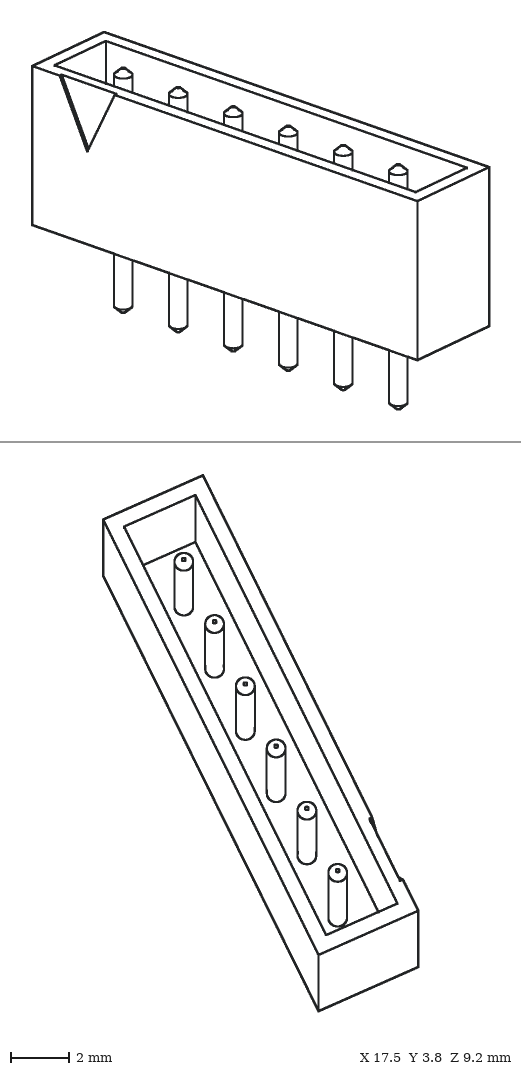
import cadquery as cq

housing_length = 17.5
housing_width = 3.8
housing_height = 6.0
wall = 0.55
floor_thickness = 1.0

pin_count = 6
pin_pitch = housing_length / (pin_count + 1)
pin_diameter = 0.65
pin_drop = 3.2
pin_top = housing_height
tip_length = 0.25
tip_flat_diameter = 0.12

marker_width = pin_pitch
marker_height = pin_pitch
marker_depth = 0.1

first_pin_x = -pin_pitch * (pin_count - 1) / 2
pin_positions = [first_pin_x + i * pin_pitch for i in range(pin_count)]


def make_pin(x):
    """Round pin with a blunt cone at each end."""
    radius = pin_diameter / 2
    tip_radius = tip_flat_diameter / 2
    return (
        cq.Workplane("XZ")
        .moveTo(0, -pin_drop)
        .lineTo(tip_radius, -pin_drop)
        .lineTo(radius, -pin_drop + tip_length)
        .lineTo(radius, pin_top - tip_length)
        .lineTo(tip_radius, pin_top)
        .lineTo(0, pin_top)
        .close()
        .revolve(360, (0, 0), (0, 1))
        .translate((x, 0, 0))
    )


def make_marker_cutter():
    """Downward-pointing triangular prism, centred on the first pin."""
    return (
        cq.Workplane("XZ", origin=(first_pin_x, -housing_width / 2 + marker_depth, 0))
        .moveTo(-marker_width / 2, housing_height)
        .lineTo(marker_width / 2, housing_height)
        .lineTo(0, housing_height - marker_height)
        .close()
        .extrude(marker_depth)
    )


def make_housing():
    """Box with a cavity, a marker recess and a hole in the floor for each pin."""
    shell = cq.Workplane("XY").box(
        housing_length, housing_width, housing_height, centered=(True, True, False)
    )
    cavity = (
        cq.Workplane("XY", origin=(0, 0, floor_thickness))
        .rect(housing_length - 2 * wall, housing_width - 2 * wall)
        .extrude(housing_height - floor_thickness)
    )
    pin_holes = (
        cq.Workplane("XY")
        .pushPoints([(x, 0) for x in pin_positions])
        .circle(pin_diameter / 2)
        .extrude(floor_thickness)
    )
    return shell.cut(cavity).cut(pin_holes).cut(make_marker_cutter())


housing = make_housing()
pins = [make_pin(x) for x in pin_positions]

result = cq.Compound.makeCompound([housing.val(), *[pin.val() for pin in pins]])